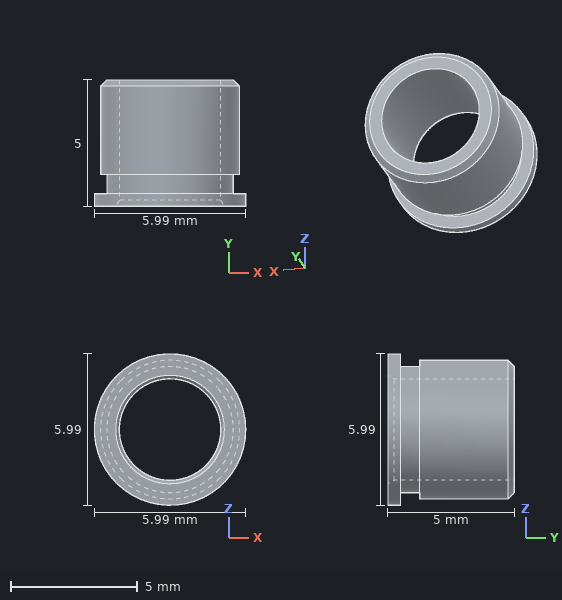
import cadquery as cq

length = 5.0
flange_diameter = 5.99
flange_thickness = 0.505
groove_diameter = 5.0
groove_width = 0.75
body_diameter = 5.49
body_chamfer = 0.25
bore_diameter = 4.0
bore_chamfer_width = 0.145
bore_chamfer_depth = 0.25

flange_radius = flange_diameter / 2
groove_radius = groove_diameter / 2
body_radius = body_diameter / 2
bore_radius = bore_diameter / 2
body_start = flange_thickness + groove_width

section = [
    (bore_radius + bore_chamfer_width, 0),
    (flange_radius, 0),
    (flange_radius, flange_thickness),
    (groove_radius, flange_thickness),
    (groove_radius, body_start),
    (body_radius, body_start),
    (body_radius, length - body_chamfer),
    (body_radius - body_chamfer, length),
    (bore_radius, length),
    (bore_radius, bore_chamfer_depth),
]

result = cq.Workplane("XY").polyline(section).close().revolve(360, (0, 0, 0), (0, 1, 0))